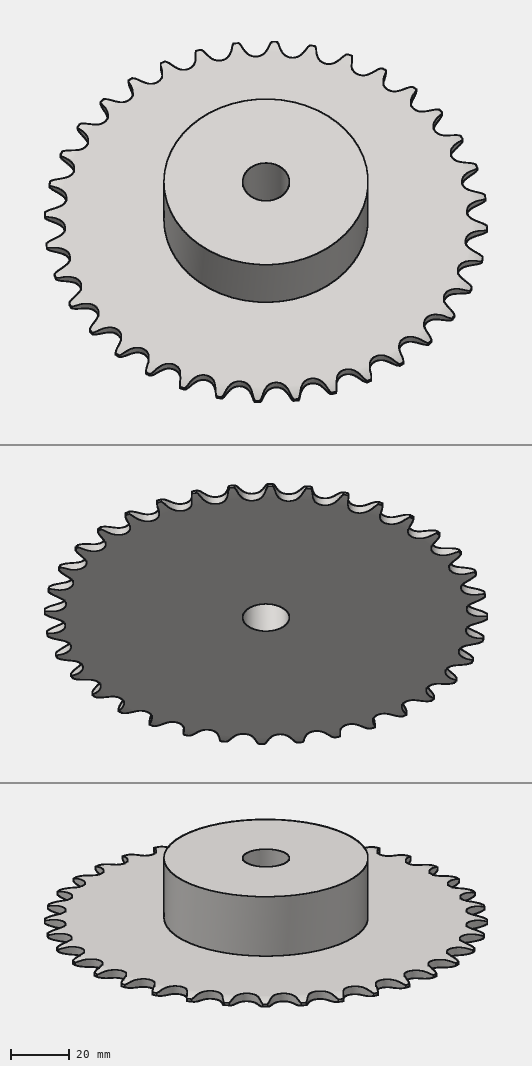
import cadquery as cq
import math

TOOTH_COUNT = 36
CHAIN_PITCH = 12.7
ROLLER_DIAMETER = 7.75
TOOTH_ANGLE = 2 * math.pi / TOOTH_COUNT
PITCH_RADIUS = CHAIN_PITCH / (2 * math.sin(TOOTH_ANGLE / 2))
TIP_RADIUS = 75.85

SEAT_RADIUS = 0.5025 * ROLLER_DIAMETER + 0.038
WORKING_RADIUS = 1.3025 * ROLLER_DIAMETER + 0.038
SEAT_END_SLOPE = math.radians(35 + 60 / TOOTH_COUNT)
WORKING_TURN = math.radians(18 - 56 / TOOTH_COUNT)
FLANK_SLOPE = SEAT_END_SLOPE - WORKING_TURN
TOPPING_ANGLE = math.radians(17 - 64 / TOOTH_COUNT)
FLANK_LENGTH = ROLLER_DIAMETER * (1.4 * math.sin(TOPPING_ANGLE) - 0.8 * math.sin(WORKING_TURN))
TOPPING_RADIUS = (
    ROLLER_DIAMETER * (0.8 * math.cos(WORKING_TURN) + 1.4 * math.cos(TOPPING_ANGLE) - 1.3025) - 0.038
)

PLATE_THICKNESS = 3.0
RELIEF_START_RADIUS = 70.9
RELIEF_ARC_RADIUS = CHAIN_PITCH
RIM_CLEARANCE = 1.0

HUB_DIAMETER = 70.0
BORE_DIAMETER = 16.0
TOTAL_HEIGHT = 25.0


def turned(along, across, angle):
    """Turn a point given along and across a gap's centre line to that gap's direction."""
    x = along * math.cos(angle) - across * math.sin(angle)
    y = along * math.sin(angle) + across * math.cos(angle)
    return (x, y)


def on_arc(center, radius, slope):
    """Point of an arc, hollow towards the gap, where its tangent has the given slope."""
    return (center[0] - radius * math.sin(slope), center[1] + radius * math.cos(slope))


def gap_side():
    """Points (along, across) on one side of a gap, from the seat end to the tooth tip."""
    seat_end = on_arc((PITCH_RADIUS, 0), SEAT_RADIUS, SEAT_END_SLOPE)
    working_center = on_arc(seat_end, -WORKING_RADIUS, SEAT_END_SLOPE)
    working_middle = on_arc(working_center, WORKING_RADIUS, (SEAT_END_SLOPE + FLANK_SLOPE) / 2)
    working_end = on_arc(working_center, WORKING_RADIUS, FLANK_SLOPE)
    flank_end = (
        working_end[0] + FLANK_LENGTH * math.cos(FLANK_SLOPE),
        working_end[1] + FLANK_LENGTH * math.sin(FLANK_SLOPE),
    )
    topping_center = on_arc(flank_end, TOPPING_RADIUS, FLANK_SLOPE)
    center_distance = math.hypot(*topping_center)
    center_bearing = math.atan2(topping_center[1], topping_center[0])
    tip_bearing = center_bearing - math.acos(
        (center_distance**2 + TIP_RADIUS**2 - TOPPING_RADIUS**2) / (2 * center_distance * TIP_RADIUS)
    )
    tip = turned(TIP_RADIUS, 0, tip_bearing)
    tip_slope = math.atan2(tip[0] - topping_center[0], topping_center[1] - tip[1])
    topping_middle = on_arc(topping_center, -TOPPING_RADIUS, (FLANK_SLOPE + tip_slope) / 2)
    return [seat_end, working_middle, working_end, flank_end, topping_middle, tip]


def tooth_outline():
    """Closed outline of all gaps, centred on the X and Y axes, with the tooth tips between them."""
    upper_side = gap_side()
    lower_side = [(along, -across) for along, across in upper_side]
    start = lower_side[-1]
    outline = cq.Workplane("XY").moveTo(*start)
    for index in range(TOOTH_COUNT):
        angle = index * TOOTH_ANGLE
        low_seat_end, low_working, low_flank, low_topping_start, low_topping, _ = [
            turned(along, across, angle) for along, across in lower_side
        ]
        up_seat_end, up_working, up_flank, up_topping_start, up_topping, up_tip = [
            turned(along, across, angle) for along, across in upper_side
        ]
        seat_bottom = turned(PITCH_RADIUS - SEAT_RADIUS, 0, angle)
        tooth_crest = turned(TIP_RADIUS, 0, angle + TOOTH_ANGLE / 2)
        is_last = index == TOOTH_COUNT - 1
        next_tip = start if is_last else turned(*start, angle + TOOTH_ANGLE)
        outline = (
            outline.threePointArc(low_topping, low_topping_start)
            .lineTo(*low_flank)
            .threePointArc(low_working, low_seat_end)
            .threePointArc(seat_bottom, up_seat_end)
            .threePointArc(up_working, up_flank)
            .lineTo(*up_topping_start)
            .threePointArc(up_topping, up_tip)
            .threePointArc(tooth_crest, next_tip)
        )
    return outline.close()


def toothed_plate():
    return tooth_outline().extrude(PLATE_THICKNESS)


def relief_envelope():
    """Disc whose two faces curve towards each other beyond the relief start radius."""
    rim_radius = TIP_RADIUS + RIM_CLEARANCE
    rim_run = rim_radius - RELIEF_START_RADIUS

    def drop(run):
        return RELIEF_ARC_RADIUS - math.sqrt(RELIEF_ARC_RADIUS**2 - run**2)

    middle_radius = RELIEF_START_RADIUS + rim_run / 2
    profile = (
        cq.Workplane("XZ")
        .lineTo(RELIEF_START_RADIUS, 0)
        .threePointArc((middle_radius, drop(rim_run / 2)), (rim_radius, drop(rim_run)))
        .lineTo(rim_radius, PLATE_THICKNESS - drop(rim_run))
        .threePointArc(
            (middle_radius, PLATE_THICKNESS - drop(rim_run / 2)),
            (RELIEF_START_RADIUS, PLATE_THICKNESS),
        )
        .lineTo(0, PLATE_THICKNESS)
        .close()
    )
    return profile.revolve(360, (0, 0, 0), (0, 1, 0))


def hub():
    return cq.Workplane("XY").circle(HUB_DIAMETER / 2).extrude(TOTAL_HEIGHT)


def bore():
    return cq.Workplane("XY").circle(BORE_DIAMETER / 2).extrude(TOTAL_HEIGHT)


result = toothed_plate().intersect(relief_envelope()).union(hub()).cut(bore())